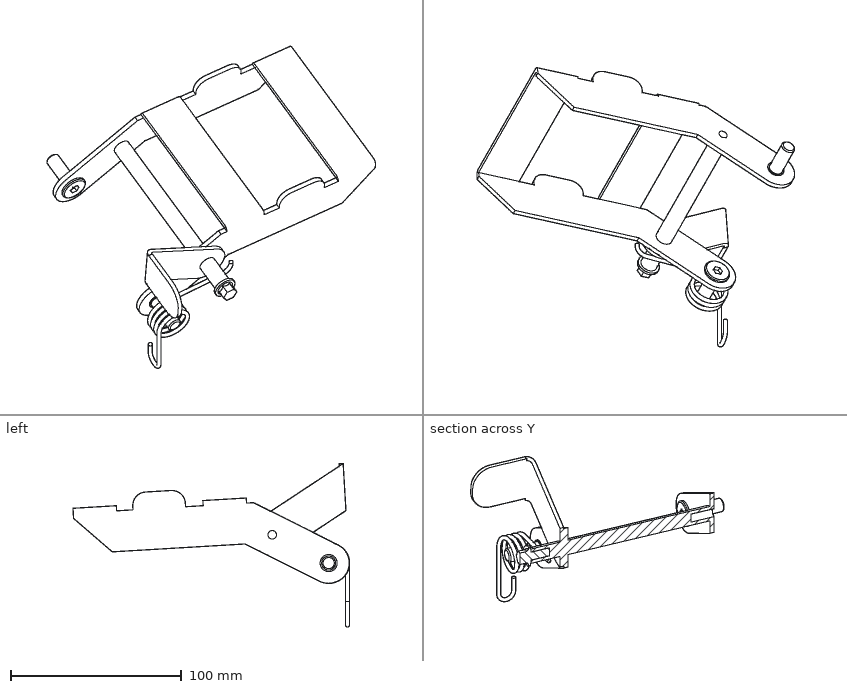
import cadquery as cq
import math


TILT = 3.4

FRAME_WIDTH = 98.0
SHEET = 3.0
HALF_WIDTH = FRAME_WIDTH / 2
INNER_HALF = HALF_WIDTH - SHEET
ARM_ANGLE = 30.0
ARM_HALF = 12.0
SIDE_BOTTOM = 14.0
SIDE_TOP = SIDE_BOTTOM + 2 * ARM_HALF
SIDE_END = 147.77
NOSE_DROP = 3.0
NOSE_FOOT = 126.2
TAB_START = 81.7
TAB_LENGTH = 31.0
TAB_HEIGHT = 10.0
TAB_RADIUS = 8.0
BAND_LENGTH = 25.6
BAND_STARTS = (45.9, SIDE_END - BAND_LENGTH)

ROD_DIAMETER = 10.0
ROD_DISTANCE = 37.0
ROD_OVERHANG = 21.5
ROD_END = HALF_WIDTH + ROD_OVERHANG
THREAD_DIAMETER = 5.0
THREAD_DEPTH = 12.0
FLANGE_DIAMETER = 13.4
FLANGE_THICKNESS = 1.5
CONE_DIAMETER = 10.0
HEAD_HEIGHT = 7.1
HEAD_FLATS = 8.0
CONE_HEIGHT = 1.2

LEVER_SHEET = 2.5
BEND_RADIUS = 2 * LEVER_SHEET
PAD_FACE = -12.0
PAD_REACH = 39.9
PAD_RADIUS = 12.0

BOLT_DIAMETER = 8.2
BOLT_REACH = 21.0
BOLT_CHAMFER = 0.8
SHOULDER_DIAMETER = 10.0
SHOULDER_REACH = 0.5
BOLT_HEAD_DIAMETER = 15.5
BOLT_HEAD_HEIGHT = 1.8
BOLT_HEAD_CHAMFER = 0.7
SOCKET_FLATS = 5.0
SOCKET_DEPTH = 2.5

WIRE = 2.5
COIL_RADIUS = 10.3
COIL_SHIFT = -0.75
COIL_START = HALF_WIDTH + 9.4
COIL_END = HALF_WIDTH + 20.9
COIL_TURNS = 3.25
UPPER_LEG_END = 39.0
UPPER_BEND = 6.2
UPPER_TIP = 1.3
LOWER_LEG = 31.4
HOOK_RADIUS = 4.87
HOOK_TIP = 8.9

COS_ARM = math.cos(math.radians(ARM_ANGLE))
SIN_ARM = math.sin(math.radians(ARM_ANGLE))
TAN_ARM = SIN_ARM / COS_ARM
ROD_Y = ROD_DISTANCE * COS_ARM
ROD_Z = ROD_DISTANCE * SIN_ARM


def across_corners(flats):
    return flats / math.cos(math.pi / 6)


def cylinder(y, z, x_start, x_end, diameter):
    """Round bar along X."""
    return cq.Workplane("YZ", origin=(x_start, y, z)).circle(diameter / 2).extrude(x_end - x_start)


def arm_edge_y(height, side):
    """Y where the upper (side = 1) or lower (side = -1) edge of the arm reaches a height."""
    return (height - side * ARM_HALF / COS_ARM) / TAN_ARM


def side_plate(x_start):
    tab_end = TAB_START + TAB_LENGTH
    tab_top = SIDE_TOP + TAB_HEIGHT
    corner_z = tab_top - TAB_RADIUS
    edge_y = ARM_HALF * SIN_ARM
    edge_z = ARM_HALF * COS_ARM
    return (
        cq.Workplane("YZ", origin=(x_start, 0, 0))
        .moveTo(-edge_y, edge_z)
        .lineTo(arm_edge_y(SIDE_TOP, 1), SIDE_TOP)
        .lineTo(TAB_START, SIDE_TOP)
        .lineTo(TAB_START, corner_z)
        .tangentArcPoint((TAB_RADIUS, TAB_RADIUS))
        .lineTo(tab_end - TAB_RADIUS, tab_top)
        .tangentArcPoint((TAB_RADIUS, -TAB_RADIUS))
        .lineTo(tab_end, SIDE_TOP)
        .lineTo(SIDE_END, SIDE_TOP)
        .lineTo(SIDE_END, SIDE_TOP - NOSE_DROP)
        .lineTo(NOSE_FOOT, SIDE_BOTTOM)
        .lineTo(arm_edge_y(SIDE_BOTTOM, -1), SIDE_BOTTOM)
        .lineTo(edge_y, -edge_z)
        .threePointArc((-ARM_HALF * COS_ARM, -ARM_HALF * SIN_ARM), (-edge_y, edge_z))
        .close()
        .extrude(SHEET)
    )


def cross_band(y_start):
    """Flat band joining the side plates, rounded where it bends down into them."""
    return (
        cq.Workplane("XZ", origin=(0, y_start, SIDE_TOP))
        .moveTo(-HALF_WIDTH, 0)
        .radiusArc((-INNER_HALF, SHEET), SHEET)
        .lineTo(INNER_HALF, SHEET)
        .radiusArc((HALF_WIDTH, 0), SHEET)
        .close()
        .extrude(-BAND_LENGTH)
    )


def foot_lever():
    """Strip sloping up from the rod, then bent outwards into a foot pad with rounded corners."""
    x_face = HALF_WIDTH
    bend_x = x_face + BEND_RADIUS
    bend_y = PAD_FACE + BEND_RADIUS
    inner_radius = BEND_RADIUS - LEVER_SHEET
    pad_middle = ROD_Z + (ROD_Y - PAD_FACE) * TAN_ARM
    pad_height = 2 * ARM_HALF / COS_ARM
    pad_base = pad_middle - pad_height / 2

    strip_length = (ROD_Y - PAD_FACE) / COS_ARM + 2 * ARM_HALF
    strip = (
        cq.Workplane("YZ", origin=(x_face, 0, 0))
        .rect(-strip_length, 2 * ARM_HALF, centered=(False, True))
        .extrude(BEND_RADIUS)
        .rotate((0, 0, 0), (1, 0, 0), -ARM_ANGLE)
        .translate((0, ROD_Y, ROD_Z))
        .union(cylinder(ROD_Y, ROD_Z, x_face, bend_x, 2 * ARM_HALF))
    )
    bent_sheet = (
        cq.Workplane("XY")
        .moveTo(x_face, ROD_Y + ARM_HALF)
        .lineTo(x_face, bend_y)
        .radiusArc((bend_x, PAD_FACE), -BEND_RADIUS)
        .lineTo(bend_x, PAD_FACE + LEVER_SHEET)
        .radiusArc((x_face + LEVER_SHEET, bend_y), inner_radius)
        .lineTo(x_face + LEVER_SHEET, ROD_Y + ARM_HALF)
        .close()
        .extrude(pad_base + pad_height)
    )
    pad = (
        cq.Workplane("XY")
        .box(PAD_REACH - BEND_RADIUS, LEVER_SHEET, pad_height, centered=False)
        .edges("|Y and >X").fillet(PAD_RADIUS)
        .translate((bend_x, PAD_FACE, pad_base))
    )
    return bent_sheet.intersect(strip).union(pad)


def welded_frame():
    frame = side_plate(-HALF_WIDTH).union(side_plate(INNER_HALF))
    for y_start in BAND_STARTS:
        frame = frame.union(cross_band(y_start))
    frame = frame.union(foot_lever())
    frame = frame.union(cylinder(ROD_Y, ROD_Z, -INNER_HALF, ROD_END, ROD_DIAMETER))
    threaded_hole_ends = (
        (-HALF_WIDTH, -INNER_HALF + THREAD_DEPTH),
        (ROD_END - THREAD_DEPTH, ROD_END),
    )
    for x_start, x_end in threaded_hole_ends:
        frame = frame.cut(cylinder(ROD_Y, ROD_Z, x_start, x_end, THREAD_DIAMETER))
    return frame.cut(cylinder(0, 0, -HALF_WIDTH, HALF_WIDTH, SHOULDER_DIAMETER))


def flange_screw():
    flange_end = ROD_END + FLANGE_THICKNESS
    cone = (
        cq.Workplane("YZ", origin=(flange_end, ROD_Y, ROD_Z))
        .circle(CONE_DIAMETER / 2)
        .workplane(offset=CONE_HEIGHT)
        .circle(HEAD_FLATS / 2)
        .loft()
    )
    hexagon = (
        cq.Workplane("YZ", origin=(flange_end, ROD_Y, ROD_Z))
        .polygon(6, across_corners(HEAD_FLATS))
        .extrude(HEAD_HEIGHT - FLANGE_THICKNESS)
    )
    return (
        cylinder(ROD_Y, ROD_Z, ROD_END - THREAD_DEPTH, ROD_END, THREAD_DIAMETER)
        .union(cylinder(ROD_Y, ROD_Z, ROD_END, flange_end, FLANGE_DIAMETER))
        .union(cone)
        .union(hexagon)
    )


def stud_bolt(side):
    """Bolt with its low head inside the frame, pointing to +X (side = 1) or -X (side = -1)."""
    head_x = INNER_HALF - BOLT_HEAD_HEIGHT
    head = (
        cylinder(0, 0, head_x, INNER_HALF, BOLT_HEAD_DIAMETER)
        .faces("<X").chamfer(BOLT_HEAD_CHAMFER)
    )
    shank = (
        cylinder(0, 0, INNER_HALF, HALF_WIDTH + BOLT_REACH, BOLT_DIAMETER)
        .faces(">X").chamfer(BOLT_CHAMFER)
    )
    shoulder = cylinder(0, 0, INNER_HALF, HALF_WIDTH + SHOULDER_REACH, SHOULDER_DIAMETER)
    socket = (
        cq.Workplane("YZ", origin=(head_x, 0, 0))
        .polygon(6, across_corners(SOCKET_FLATS))
        .extrude(SOCKET_DEPTH)
    )
    bolt = head.union(shank).union(shoulder).cut(socket)
    return bolt if side > 0 else bolt.mirror("YZ")


def torsion_spring():
    """Coil with a straight upper leg turned up behind the rod and a lower leg ending in a hook."""
    coil_length = COIL_END - COIL_START
    helix = (
        cq.Wire.makeHelix(coil_length / COIL_TURNS, coil_length, COIL_RADIUS)
        .rotate(cq.Vector(0, 0, 0), cq.Vector(0, 1, 0), 90)
        .rotate(cq.Vector(0, 0, 0), cq.Vector(1, 0, 0), 180)
        .translate(cq.Vector(COIL_START, COIL_SHIFT, 0))
    )
    leg_y = COIL_SHIFT - COIL_RADIUS
    coil = (
        cq.Workplane("XZ", origin=(COIL_START, COIL_SHIFT, COIL_RADIUS))
        .circle(WIRE / 2)
        .sweep(cq.Workplane(obj=helix), isFrenet=True)
    )
    upper_path = (
        cq.Workplane("YZ", origin=(COIL_START, 0, 0))
        .moveTo(COIL_SHIFT, COIL_RADIUS)
        .lineTo(UPPER_LEG_END, COIL_RADIUS)
        .tangentArcPoint((UPPER_BEND, UPPER_BEND))
        .line(0, UPPER_TIP)
    )
    upper_leg = (
        cq.Workplane("XZ", origin=(COIL_START, COIL_SHIFT, COIL_RADIUS))
        .circle(WIRE / 2)
        .sweep(upper_path)
    )
    lower_path = (
        cq.Workplane("XZ", origin=(COIL_END, leg_y, 0))
        .lineTo(0, -LOWER_LEG)
        .tangentArcPoint((-2 * HOOK_RADIUS, 0))
        .line(0, HOOK_TIP)
    )
    lower_leg = (
        cq.Workplane("XY", origin=(COIL_END, leg_y, 0))
        .circle(WIRE / 2)
        .sweep(lower_path)
    )
    return coil.union(upper_leg).union(lower_leg)


def tilted(body):
    return body.rotate((0, 0, 0), (1, 0, 0), -TILT)


frame = tilted(welded_frame())
screw = tilted(flange_screw())
bolts = [tilted(stud_bolt(side)) for side in (-1, 1)]
spring = torsion_spring()

bodies = [frame, screw, *bolts, spring]
result = cq.Compound.makeCompound([body.solids().val() for body in bodies])